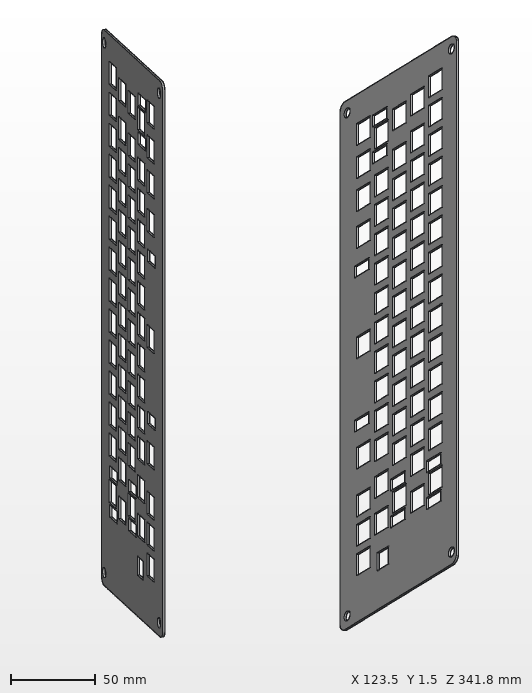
import cadquery as cq

plate_width = 123.5
plate_length = 341.8
plate_thickness = 1.5
corner_radius = 5.0

layout_centre_x = -1.0

mount_hole_diameter = 6.0
mount_hole_spacing_x = 110.5
mount_hole_spacing_z = 325.7

row_length = 285.7
units_per_row = 15
key_unit = row_length / units_per_row
row_start_z = 157.0
switch_size = 14.0

stabilizer_width = 15.0
stabilizer_height = 7.5
stabilizer_shift = 1.7
long_key_reach = 12.0
space_bar_reach = 50.0

extra_opening_size = 11.5
extra_opening_x = 16.5
extra_opening_z = -139.8

cut_reach = plate_thickness


def evenly_spaced_keys(first, count):
    """Centres of neighbouring single-unit keys, in key units from the row start."""
    return [first + i for i in range(count)]


number_row = evenly_spaced_keys(0.5, 13) + [14]
upper_row = [0.75] + evenly_spaced_keys(2, 12) + [14.25]
home_row = [0.875] + evenly_spaced_keys(2.25, 11) + [13.875]
lower_row = [1.125] + evenly_spaced_keys(2.75, 10) + [13, 14.25]
space_bar = 7.875
bottom_row = [0.625, 1.75, 2.875, 4.125, space_bar, 11.625] + evenly_spaced_keys(13.25, 3)
key_rows = [number_row, upper_row, home_row, lower_row, bottom_row]

stabilized_keys = [
    (0, number_row[-1], long_key_reach),
    (2, home_row[-1], long_key_reach),
    (3, lower_row[0], long_key_reach),
    (4, space_bar, space_bar_reach),
]


def key_position(row, centre):
    """X and Z of a key; the middle row lies on the layout centreline."""
    middle_row = (len(key_rows) - 1) / 2
    x = layout_centre_x + (row - middle_row) * key_unit
    z = row_start_z - centre * key_unit
    return x, z


def opening(points, width, height):
    """Rectangular cutters through the plate at the given X, Z points."""
    plane = cq.Workplane("XZ").pushPoints(points)
    return plane.rect(width, height).extrude(cut_reach, both=True)


def make_plate():
    blank = cq.Workplane("XY").box(plate_width, plate_thickness, plate_length)
    return blank.edges("|Y").fillet(corner_radius)


def mount_holes():
    plane = cq.Workplane("XZ").center(layout_centre_x, 0)
    pattern = plane.rect(mount_hole_spacing_x, mount_hole_spacing_z, forConstruction=True)
    return pattern.vertices().circle(mount_hole_diameter / 2).extrude(cut_reach, both=True)


def switch_openings():
    points = [key_position(row, centre) for row, keys in enumerate(key_rows) for centre in keys]
    return opening(points, switch_size, switch_size)


def stabilizer_openings():
    points = []
    for row, centre, reach in stabilized_keys:
        x, z = key_position(row, centre)
        points.append((x + stabilizer_shift, z + reach))
        points.append((x + stabilizer_shift, z - reach))
    return opening(points, stabilizer_width, stabilizer_height)


def extra_opening():
    return opening([(extra_opening_x, extra_opening_z)], extra_opening_size, extra_opening_size)


result = (
    make_plate()
    .cut(mount_holes())
    .cut(switch_openings())
    .cut(stabilizer_openings())
    .cut(extra_opening())
)